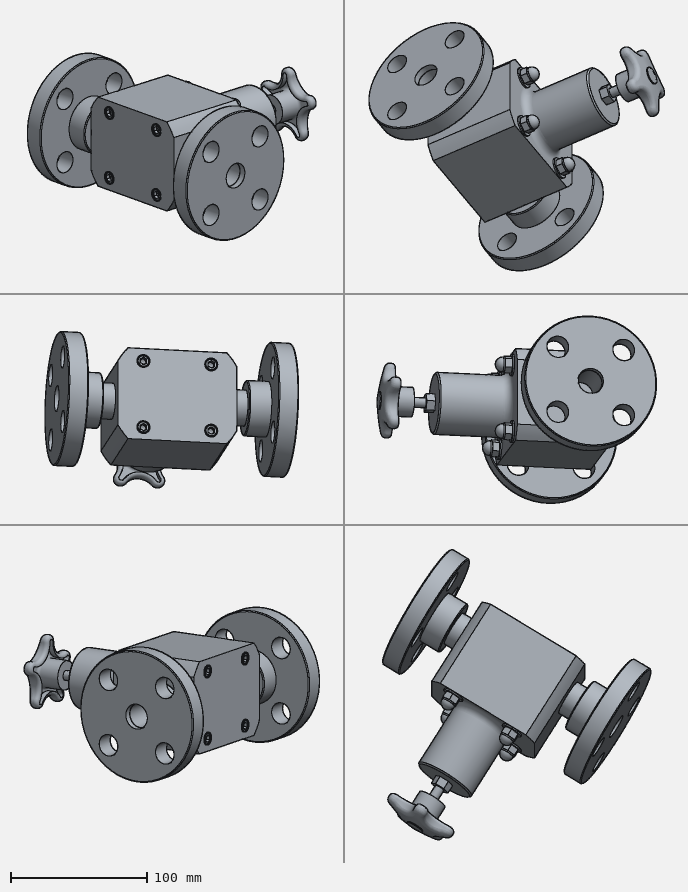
import cadquery as cq
import math


overall_length = 171.5
flange_diameter = 98.5
flange_thickness = 15.0
hub_diameter = 41.0
hub_length = 16.5
pipe_diameter = 26.6
flange_chamfer = 0.8
bolt_hole_diameter = 16.0
bolt_hole_pitch = 49.2
seat_bore_diameter = 18.8
seat_bore_depth = 5.2
pipe_bore_diameter = 18.4

block_length = 88.6
block_height = 69.5
block_front = -23.2
block_back = 46.9
block_corner_diameter = 101.2

bolt_offset = 25.3
head_recess_diameter = 9.5
head_gap = 0.8
head_gap_depth = 0.8
socket_flats = 4.8
socket_depth = 2.9
socket_tip_diameter = 4.4
socket_cone_angle = 120
washer_diameter = 16.0
washer_thickness = 1.1
nut_flats = 11.1
nut_height = 5.2
collar_height = 1.1
dome_diameter = 11.0

bonnet_diameter = 45.7
bonnet_top = 100.9
bonnet_chamfer = 1.1
bonnet_root_fillet = 6.1
gland_flats = 12.5
gland_height = 6.5
stem_diameter = 7.5

overall_depth = 191.4
handle_top = overall_depth - flange_diameter / 2
handle_bottom = 130.0
handle_hub_diameter = 22.0
handle_hub_length = 12.6
arm_count = 5
arm_tip_radius = 5.2
arm_tip_distance = 23.5
crown_radius = 86.1
crown_disc_diameter = 13.2
crown_disc_height = 0.5
crown_fillet = 3.5
underside_fillet = 2.9
rim_width = 3.3
recess_depth = 4.5
hub_root_fillet = 2.3

half_length = overall_length / 2
full_turn = 360
hex_corner_turn = 30


def plane_y(y):
    """Work plane at depth y, facing +Y, with local x along +X and local y along -Z."""
    return cq.Workplane(cq.Plane(origin=(0, y, 0), xDir=(1, 0, 0), normal=(0, 1, 0)))


def cylinder_y(diameter, start, end):
    """Round bar on the stem axis between two depths along Y."""
    return plane_y(start).circle(diameter / 2).extrude(end - start)


def hexagon_y(flats, start, end, turn=0):
    """Hex prism along Y; corners lie on the X axis at zero turn, on the Z axis at 30 degrees."""
    corners = flats / math.cos(math.pi / 6)
    prism = plane_y(start).polygon(6, corners).extrude(end - start)
    return prism.rotate((0, 0, 0), (0, 1, 0), turn)


def at_bolts(shape):
    """Copies of a shape on the stem axis, moved to the four block bolts."""
    copies = cq.Workplane()
    for x in (-bolt_offset, bolt_offset):
        for z in (-bolt_offset, bolt_offset):
            copies = copies.add(shape.translate((x, 0, z)))
    return copies


def make_left_end():
    """Flange, hub and pipe on the -X side, overlapping to the middle of the block."""
    face = cq.Workplane(cq.Plane(origin=(-half_length, 0, 0), xDir=(0, 1, 0), normal=(1, 0, 0)))
    flange = face.circle(flange_diameter / 2).extrude(flange_thickness)
    flange = flange.edges().chamfer(flange_chamfer)
    hub = face.circle(hub_diameter / 2).extrude(flange_thickness + hub_length)
    hub = hub.faces(">X").edges().chamfer(flange_chamfer)
    pipe = face.circle(pipe_diameter / 2).extrude(half_length)
    bolt_holes = (
        face.rect(bolt_hole_pitch, bolt_hole_pitch, forConstruction=True)
        .vertices()
        .circle(bolt_hole_diameter / 2)
        .extrude(flange_thickness)
    )
    seat_bore = face.circle(seat_bore_diameter / 2).extrude(seat_bore_depth)
    pipe_bore = face.circle(pipe_bore_diameter / 2).extrude(half_length - block_length / 2)
    return flange.union(hub).union(pipe).cut(bolt_holes).cut(seat_bore).cut(pipe_bore)


def make_block():
    """Rectangular block whose long corners are turned about the stem axis."""
    depth = block_back - block_front
    block = plane_y(block_front).rect(block_length, block_height).extrude(depth)
    return block.intersect(cylinder_y(block_corner_diameter, block_front, block_back))


def make_socket_cut():
    """Ring gap around a flush bolt head, plus its hex socket with a conical bottom."""
    gap_bottom = block_front + head_gap_depth
    head_diameter = head_recess_diameter - 2 * head_gap
    recess = cylinder_y(head_recess_diameter, block_front, gap_bottom)
    gap = recess.cut(cylinder_y(head_diameter, block_front, gap_bottom))
    socket_bottom = block_front + socket_depth
    socket = hexagon_y(socket_flats, block_front, socket_bottom, hex_corner_turn)
    cone_radius = socket_tip_diameter / 2
    cone_height = cone_radius / math.tan(math.radians(socket_cone_angle / 2))
    cone = (
        cq.Workplane("XY")
        .moveTo(0, socket_bottom)
        .lineTo(cone_radius, socket_bottom)
        .lineTo(0, socket_bottom + cone_height)
        .close()
        .revolve(full_turn, (0, 0, 0), (0, 1, 0))
    )
    return gap.union(socket.union(cone))


def make_cap_nut():
    """Washer and hex nut, with a short round collar below the dome."""
    washer_top = block_back + washer_thickness
    nut_top = washer_top + nut_height
    collar_top = nut_top + collar_height
    dome_radius = dome_diameter / 2
    washer = cylinder_y(washer_diameter, block_back, washer_top)
    nut = hexagon_y(nut_flats, washer_top, nut_top, hex_corner_turn)
    collar = cylinder_y(nut_flats, nut_top, collar_top)
    dome = (
        cq.Workplane("XY")
        .moveTo(0, collar_top)
        .lineTo(dome_radius, collar_top)
        .radiusArc((0, collar_top + dome_radius), -dome_radius)
        .close()
        .revolve(full_turn, (0, 0, 0), (0, 1, 0))
    )
    return washer.union(nut).union(collar).union(dome)


def make_bonnet():
    """Cylinder with a chamfered top and a flared root that meets the block."""
    radius = bonnet_diameter / 2
    return (
        cq.Workplane("XY")
        .moveTo(0, block_back)
        .lineTo(radius + bonnet_root_fillet, block_back)
        .radiusArc((radius, block_back + bonnet_root_fillet), bonnet_root_fillet)
        .lineTo(radius, bonnet_top - bonnet_chamfer)
        .lineTo(radius - bonnet_chamfer, bonnet_top)
        .lineTo(0, bonnet_top)
        .close()
        .revolve(full_turn, (0, 0, 0), (0, 1, 0))
    )


def polar(distance, angle):
    """Point on a handle plane; an angle of zero points along +Z."""
    return (distance * math.sin(angle), -distance * math.cos(angle))


def star_prism(tip_radius, height):
    """Prism of round-tipped arms joined by concave arcs, standing on the underside of the handle."""
    half_pitch = math.pi / arm_count
    valley_center = arm_tip_distance / math.cos(half_pitch)
    valley_radius = arm_tip_distance * math.tan(half_pitch) - tip_radius
    valley_distance = valley_center - valley_radius
    shoulder_distance = math.hypot(arm_tip_distance, tip_radius)
    shoulder_angle = math.atan2(tip_radius, arm_tip_distance)
    outline = plane_y(handle_bottom).moveTo(*polar(shoulder_distance, -shoulder_angle))
    for index in range(arm_count):
        arm = 2 * half_pitch * index
        next_arm = arm + 2 * half_pitch
        tip = polar(arm_tip_distance + tip_radius, arm)
        valley = polar(valley_distance, arm + half_pitch)
        outline = outline.threePointArc(tip, polar(shoulder_distance, arm + shoulder_angle))
        outline = outline.threePointArc(valley, polar(shoulder_distance, next_arm - shoulder_angle))
    return outline.close().extrude(height)


def make_star():
    """Star handle with a shallow crown, rounded edges and a hollow underside."""
    star = star_prism(arm_tip_radius, handle_top - handle_bottom)
    recess = star_prism(arm_tip_radius - rim_width, recess_depth)

    crown_top = handle_top - crown_disc_height
    crown_limit = arm_tip_distance + 2 * arm_tip_radius
    crown_edge = crown_top - crown_radius + math.sqrt(crown_radius**2 - crown_limit**2)
    crown = (
        cq.Workplane("XY")
        .moveTo(0, handle_bottom)
        .lineTo(crown_limit, handle_bottom)
        .lineTo(crown_limit, crown_edge)
        .radiusArc((0, crown_top), -crown_radius)
        .close()
        .revolve(full_turn, (0, 0, 0), (0, 1, 0))
    )
    star = star.intersect(crown)
    star = star.faces("%SPHERE").edges("not %LINE").fillet(crown_fillet)
    star = star.faces("<Y").edges().fillet(underside_fillet).cut(recess)
    return star.union(cylinder_y(crown_disc_diameter, handle_bottom + recess_depth, handle_top))


def make_handle_hub():
    """Cylinder below the handle that flares into the floor of the star's recess."""
    radius = handle_hub_diameter / 2
    recess_floor = handle_bottom + recess_depth
    return (
        cq.Workplane("XY")
        .moveTo(0, handle_bottom - handle_hub_length)
        .lineTo(radius, handle_bottom - handle_hub_length)
        .lineTo(radius, recess_floor - hub_root_fillet)
        .radiusArc((radius + hub_root_fillet, recess_floor), hub_root_fillet)
        .lineTo(0, recess_floor)
        .close()
        .revolve(full_turn, (0, 0, 0), (0, 1, 0))
    )


left_end = make_left_end()
right_end = left_end.mirror("YZ")
stem = cylinder_y(stem_diameter, bonnet_top, handle_bottom)
gland_nut = hexagon_y(gland_flats, bonnet_top, bonnet_top + gland_height)

result = left_end.union(right_end).union(make_block())
result = result.union(make_bonnet()).union(gland_nut).union(stem).union(make_handle_hub()).union(make_star())
result = result.union(at_bolts(make_cap_nut())).cut(at_bolts(make_socket_cut()))